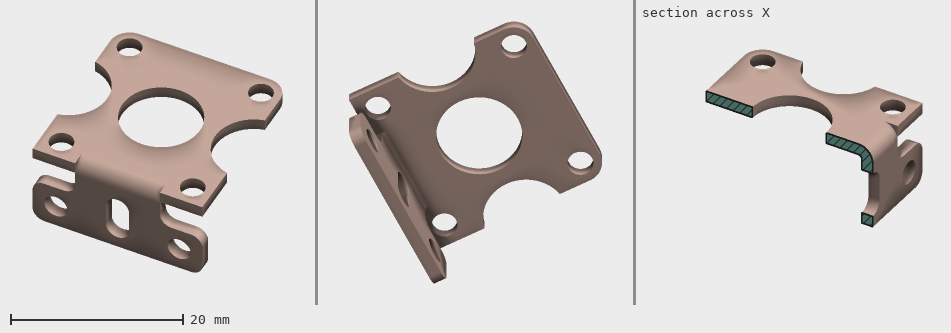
import cadquery as cq

width = 22.0
depth = 22.7
height = 11.0
thickness = 1.52
outer_bend_radius = 2.0
small_hole_diameter = 3.0

plate_corner_radius = 2.5
plate_hole_inset = plate_corner_radius
plate_hole_x = 8.51
center_hole_diameter = 10.0
side_cutout_radius = center_hole_diameter / 2
side_cutout_depth = 4.0

neck_width = width / 2
foot_height = 6.0
flange_corner_radius = small_hole_diameter / 2
flange_hole_x = 8.0
flange_hole_z = small_hole_diameter
slot_length = 2 * small_hole_diameter

inner_bend_radius = outer_bend_radius - thickness
plate_bottom = height - thickness
plate_middle_y = depth / 2
half_width = width / 2
half_neck = neck_width / 2


def make_plate():
    plate = (
        cq.Workplane("XY", origin=(0, plate_middle_y, plate_bottom))
        .rect(width, depth)
        .extrude(thickness)
        .edges("|Z and >Y")
        .fillet(plate_corner_radius)
    )
    bend_opening = (
        cq.Workplane("XY", origin=(0, outer_bend_radius / 2, plate_bottom))
        .rect(neck_width, outer_bend_radius)
        .extrude(thickness)
    )
    return plate.cut(bend_opening)


def make_bend():
    """Quarter-round strip joining the plate to the flange."""
    bend_bottom = height - outer_bend_radius
    outer_block = (
        cq.Workplane("XY", origin=(0, outer_bend_radius / 2, bend_bottom))
        .rect(neck_width, outer_bend_radius)
        .extrude(outer_bend_radius)
    )
    axis_plane = cq.Workplane("YZ", origin=(-half_neck, outer_bend_radius, bend_bottom))
    outer_round = axis_plane.circle(outer_bend_radius).extrude(neck_width)
    inner_round = axis_plane.circle(inner_bend_radius).extrude(neck_width)
    return outer_block.intersect(outer_round).cut(inner_round)


def make_flange():
    """Inverted-T flange with every corner rounded below the bend."""
    neck_top = height - outer_bend_radius
    foot = (
        cq.Workplane("XZ")
        .rect(width, foot_height)
        .extrude(-thickness)
        .edges("|Y")
        .fillet(flange_corner_radius)
        .translate((0, 0, foot_height / 2))
    )
    neck = (
        cq.Workplane("XZ", origin=(0, 0, neck_top / 2))
        .rect(neck_width, neck_top)
        .extrude(-thickness)
    )
    flange = foot.union(neck)
    margin = flange_corner_radius / 2
    inside_corners = cq.selectors.BoxSelector(
        (-half_neck - margin, -margin, foot_height - margin),
        (half_neck + margin, thickness + margin, foot_height + margin),
    )
    return flange.edges("|Y").edges(inside_corners).fillet(flange_corner_radius)


def plate_openings():
    hole_y = plate_middle_y - plate_hole_inset
    cutout_x = half_width - side_cutout_depth + side_cutout_radius
    plane = cq.Workplane("XY", origin=(0, plate_middle_y, plate_bottom))
    corner_holes = (
        plane.rect(2 * plate_hole_x, 2 * hole_y, forConstruction=True)
        .vertices()
        .circle(small_hole_diameter / 2)
        .extrude(thickness)
    )
    center_hole = plane.circle(center_hole_diameter / 2).extrude(thickness)
    side_cutouts = (
        plane.pushPoints([(-cutout_x, 0), (cutout_x, 0)])
        .circle(side_cutout_radius)
        .extrude(thickness)
    )
    return corner_holes.union(center_hole).union(side_cutouts)


def flange_openings():
    slot_z = flange_hole_z + (slot_length - small_hole_diameter) / 2
    holes = (
        cq.Workplane("XZ")
        .pushPoints([(-flange_hole_x, flange_hole_z), (flange_hole_x, flange_hole_z)])
        .circle(small_hole_diameter / 2)
        .extrude(-thickness)
    )
    slot = (
        cq.Workplane("XZ", origin=(0, 0, slot_z))
        .slot2D(slot_length, small_hole_diameter, 90)
        .extrude(-thickness)
    )
    return holes.union(slot)


plate = make_plate().cut(plate_openings())
flange = make_flange().cut(flange_openings())
result = plate.union(make_bend()).union(flange)